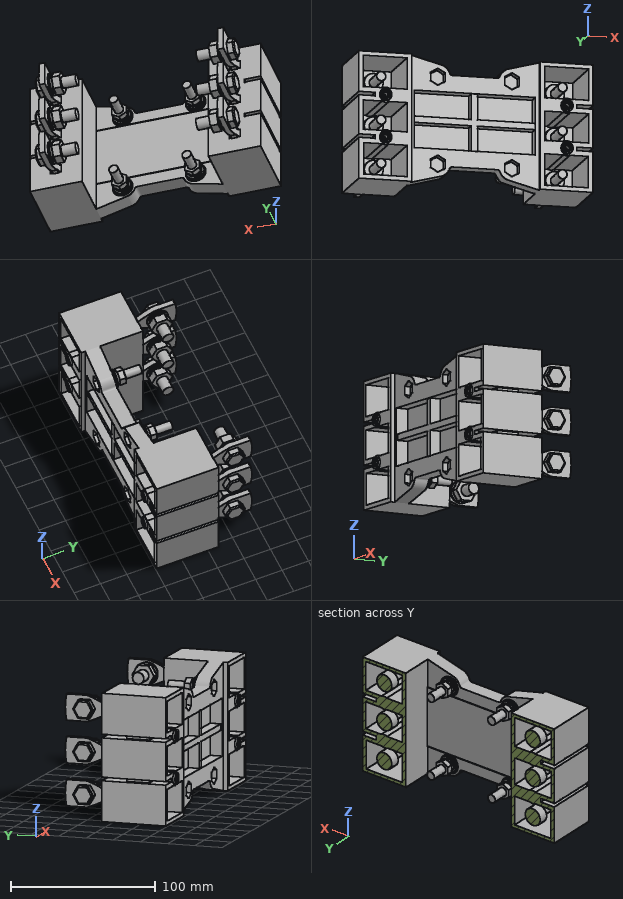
import cadquery as cq
import math


OVERALL_X = 168.0
OVERALL_Y = 81.39
HOUSING_X = 38.0
HOUSING_Y = 47.0
HOUSING_Z = 91.0
POLES = 3
POLE_PITCH = HOUSING_Z / POLES
WALL = 3.1
INNER_WALL = 3.4
BACK_WALL = 3.0
POLE_X = 65.0

HOUSING_INNER_X = OVERALL_X / 2 - HOUSING_X
CHAMBER_INNER_X = HOUSING_INNER_X + INNER_WALL
CHAMBER_OUTER_X = OVERALL_X / 2 - WALL
BOTTOM_CHAMBER_INSET = 0.45
OUTER_CHAMBER_Z = 22.4
MIDDLE_CHAMBER_Z = 20.9

CONTACT_PITCH = 31.0
PIN_DIAMETER = 6.5
PIN_FRONT_Y = 11.5
COLLAR_DIAMETER = 13.4
COLLAR_FRONT_Y = 32.0

SLOT_Z = 2.5
SLOT_DEPTH = 11.8
SLOT_WEB_DEPTH = 3.5
WEB_START_Y = 13.3
WEB_END_Y = 30.0

RIVET_SLEEVE_DIAMETER = 10.7
RIVET_HEAD_DIAMETER = 8.3
RIVET_HEAD_HEIGHT = 1.6
RIVET_RECESS_DIAMETER = 5.5
RIVET_RECESS_DEPTH = 1.0
RIVET_BORE = 3.5
RIVET_BORE_DEPTH = 6.0

PLATE_FRONT_Y = 3.1
PLATE_BACK_Y = 14.5
WAIST_Z = 32.7
EAR_SHOULDER_X = 22.9
EAR_RADIUS = 9.2
EAR_FILLET = 2.0
WINDOW_X = 86.8
WINDOW_Z = 41.0
WINDOW_DEPTH = 8.9
RIB_WIDTH = 4.5
RIB_RECESS = 1.0
PAD_Z = 47.0
PAD_HEIGHT = 0.5

STUD_X = 26.6
STUD_Z = 31.0
STUD_DIAMETER = 6.5
STUD_END_Y = 36.2
STUD_NUT_FLATS = 10.4
STUD_NUT_BACK_Y = 23.4
STUD_NUT_FRONT_Y = 18.8
SPRING_WASHER_DIAMETER = 10.2
SPRING_WASHER_FRONT_Y = 16.8
FLAT_WASHER_DIAMETER = 13.2
FLAT_WASHER_FRONT_Y = 15.4
SEAT_DIAMETER = 14.4
STUD_RECESS_FLATS = 10.4
STUD_RECESS_DEPTH = 8.0
STUD_HEAD_FLATS = 9.7
STUD_HEAD_SINK = 4.0
STUD_HEAD_FRONT_Y = PLATE_FRONT_Y + STUD_HEAD_SINK

TAB_TIP_Y = OVERALL_Y - RIVET_HEAD_HEIGHT
TAB_THICKNESS = 4.2
TAB_HALF_WIDTH = 9.35
TAB_TIP_BULGE = 0.9
TAB_CORNER_Y = TAB_TIP_Y - TAB_TIP_BULGE
TAB_SHOULDER_START_Y = 64.3
TAB_SHOULDER_END_Y = 62.7
TAB_SHOULDER_HALF_WIDTH = 9.1
TAB_NECK_Y = 50.3
TAB_NECK_HALF_WIDTH = 3.55
TAB_SIDE_BULGE = 0.35
TAB_SHOULDER_BULGE = 0.04
FLARE_WIDTH = 1.9
FLARE_HALF_WIDTH = 3.1

BOLT_Y = 65.1
BOLT_DIAMETER = 8.3
BOLT_HEAD_FLATS = 13.0
BOLT_HEAD_HEIGHT = 5.3
BOLT_HEAD_CHAMFER = 1.0
BOLT_END_X = 43.9
TERMINAL_WASHER_DIAMETER = 15.8
TERMINAL_WASHER_THICKNESS = 1.0
TERMINAL_SPRING_DIAMETER = 12.2
TERMINAL_SPRING_THICKNESS = 1.8
TERMINAL_NUT_FLATS = 13.9
TERMINAL_NUT_HEIGHT = 5.8


def box(x0, x1, y0, y1, z0, z1):
    return cq.Workplane("XY").box(x1 - x0, y1 - y0, z1 - z0, centered=False).translate((x0, y0, z0))


def across_corners(flats):
    return flats / math.cos(math.pi / 6)


def plane_y(x, y, z):
    """Workplane at a point, with its normal along +Y."""
    return cq.Workplane(cq.Plane((x, y, z), xDir=(1, 0, 0), normal=(0, 1, 0)))


def disc_y(x, z, diameter, y0, y1):
    return plane_y(x, y0, z).circle(diameter / 2).extrude(y1 - y0)


def hex_y(x, z, flats, y0, y1):
    """Hexagonal prism along Y with two corners pointing up and down."""
    outline = plane_y(x, y0, z).transformed(rotate=(0, 0, 30)).polygon(6, across_corners(flats))
    return outline.extrude(y1 - y0)


def plane_x(x, y, z):
    """Workplane at a point, with its normal along +X."""
    return cq.Workplane(cq.Plane((x, y, z), xDir=(0, 1, 0), normal=(1, 0, 0)))


def pole_heights(pitch):
    return [-pitch, 0.0, pitch]


def gap_heights():
    return [-POLE_PITCH / 2, POLE_PITCH / 2]


def cut_chambers(housing):
    outer_centre = HOUSING_Z / 2 - WALL - OUTER_CHAMBER_Z / 2
    bottom_outer_x = CHAMBER_OUTER_X - BOTTOM_CHAMBER_INSET
    chambers = [
        (outer_centre, OUTER_CHAMBER_Z, CHAMBER_OUTER_X),
        (0.0, MIDDLE_CHAMBER_Z, CHAMBER_OUTER_X),
        (-outer_centre, OUTER_CHAMBER_Z, bottom_outer_x),
    ]
    for centre, height, outer_x in chambers:
        housing = housing.cut(box(
            CHAMBER_INNER_X, outer_x,
            0, HOUSING_Y - BACK_WALL,
            centre - height / 2, centre + height / 2,
        ))
    return housing


def cut_slots(housing):
    edge = OVERALL_X / 2
    for z in gap_heights():
        bottom = z - SLOT_Z / 2
        top = z + SLOT_Z / 2
        housing = housing.cut(box(edge - SLOT_WEB_DEPTH, edge, 0, HOUSING_Y, bottom, top))
        housing = housing.cut(box(edge - SLOT_DEPTH, edge, 0, WEB_START_Y, bottom, top))
        housing = housing.cut(box(edge - SLOT_DEPTH, edge, WEB_END_Y, HOUSING_Y, bottom, top))
    return housing


def add_rivets(housing):
    for z in gap_heights():
        housing = housing.union(disc_y(POLE_X, z, RIVET_SLEEVE_DIAMETER, 0, HOUSING_Y))
        housing = housing.union(disc_y(POLE_X, z, RIVET_HEAD_DIAMETER, -RIVET_HEAD_HEIGHT, 0))
        recess_floor = RIVET_RECESS_DEPTH - RIVET_HEAD_HEIGHT
        housing = housing.cut(disc_y(POLE_X, z, RIVET_RECESS_DIAMETER, -RIVET_HEAD_HEIGHT, recess_floor))
        housing = housing.cut(disc_y(POLE_X, z, RIVET_BORE, recess_floor, recess_floor + RIVET_BORE_DEPTH))
    return housing


def add_contact_pins(housing):
    for z in pole_heights(CONTACT_PITCH):
        housing = housing.union(disc_y(POLE_X, z, PIN_DIAMETER, PIN_FRONT_Y, HOUSING_Y))
        housing = housing.union(disc_y(POLE_X, z, COLLAR_DIAMETER, COLLAR_FRONT_Y, HOUSING_Y))
    return housing


def make_housing():
    housing = box(
        HOUSING_INNER_X, OVERALL_X / 2,
        0, HOUSING_Y,
        -HOUSING_Z / 2, HOUSING_Z / 2,
    )
    housing = cut_chambers(housing)
    housing = cut_slots(housing)
    housing = add_contact_pins(housing)
    return add_rivets(housing)


def arc_middle(start, end, sagitta):
    """Middle point of an arc bulging to the left of the direction start -> end."""
    dx = end[0] - start[0]
    dy = end[1] - start[1]
    length = math.hypot(dx, dy)
    return (
        (start[0] + end[0]) / 2 - dy / length * sagitta,
        (start[1] + end[1]) / 2 + dx / length * sagitta,
    )


def make_tab(z):
    """Flat terminal tab whose tapered neck flares out into the housing."""
    tip = (TAB_TIP_Y, 0)
    corner = (TAB_CORNER_Y, TAB_HALF_WIDTH)
    shoulder_start = (TAB_SHOULDER_START_Y, TAB_HALF_WIDTH)
    shoulder_end = (TAB_SHOULDER_END_Y, TAB_SHOULDER_HALF_WIDTH)
    neck = (TAB_NECK_Y, TAB_NECK_HALF_WIDTH)
    root = (HOUSING_Y, TAB_NECK_HALF_WIDTH)

    def below(point):
        return (point[0], -point[1])

    shoulder_middle = arc_middle(shoulder_start, shoulder_end, -TAB_SHOULDER_BULGE)
    side_middle = arc_middle(shoulder_end, neck, -TAB_SIDE_BULGE)
    outline = (
        plane_x(POLE_X - TAB_THICKNESS / 2, 0, z)
        .moveTo(*corner)
        .lineTo(*shoulder_start)
        .threePointArc(shoulder_middle, shoulder_end)
        .threePointArc(side_middle, neck)
        .lineTo(*root)
        .lineTo(*below(root))
        .lineTo(*below(neck))
        .threePointArc(below(side_middle), below(shoulder_end))
        .threePointArc(below(shoulder_middle), below(shoulder_start))
        .lineTo(*below(corner))
        .threePointArc(tip, corner)
        .close()
    )
    tab = outline.extrude(TAB_THICKNESS)

    half_neck = TAB_THICKNESS / 2
    half_root = half_neck + FLARE_WIDTH
    flare_height = TAB_NECK_Y - HOUSING_Y
    flare_radius = (FLARE_WIDTH ** 2 + flare_height ** 2) / (2 * FLARE_WIDTH)
    flare = (
        cq.Workplane("XY", origin=(POLE_X, 0, z - FLARE_HALF_WIDTH))
        .moveTo(-half_root, HOUSING_Y)
        .lineTo(half_root, HOUSING_Y)
        .radiusArc((half_neck, TAB_NECK_Y), flare_radius)
        .lineTo(-half_neck, TAB_NECK_Y)
        .radiusArc((-half_root, HOUSING_Y), flare_radius)
        .close()
        .extrude(2 * FLARE_HALF_WIDTH)
    )
    return tab.union(flare)


def make_terminal_bolt(z):
    """Hexagon bolt with washers and nut; head on the outer side, shank towards X = 0."""
    tab_outer = POLE_X + TAB_THICKNESS / 2
    tab_inner = POLE_X - TAB_THICKNESS / 2
    head_flats_end = tab_outer + BOLT_HEAD_HEIGHT - BOLT_HEAD_CHAMFER
    head_corners = across_corners(BOLT_HEAD_FLATS)
    head_end_corners = across_corners(BOLT_HEAD_FLATS - 2 * BOLT_HEAD_CHAMFER)
    head_base = plane_x(tab_outer, BOLT_Y, z).polygon(6, head_corners)
    bolt = head_base.extrude(head_flats_end - tab_outer)
    head_top = (
        plane_x(head_flats_end, BOLT_Y, z)
        .polygon(6, head_corners)
        .workplane(offset=BOLT_HEAD_CHAMFER)
        .polygon(6, head_end_corners)
        .loft(ruled=True)
    )
    shank = plane_x(BOLT_END_X, BOLT_Y, z).circle(BOLT_DIAMETER / 2).extrude(tab_outer - BOLT_END_X)

    washer_x = tab_inner - TERMINAL_WASHER_THICKNESS
    spring_x = washer_x - TERMINAL_SPRING_THICKNESS
    nut_x = spring_x - TERMINAL_NUT_HEIGHT
    washer = plane_x(washer_x, BOLT_Y, z).circle(TERMINAL_WASHER_DIAMETER / 2)
    spring = plane_x(spring_x, BOLT_Y, z).circle(TERMINAL_SPRING_DIAMETER / 2)
    nut = plane_x(nut_x, BOLT_Y, z).polygon(6, across_corners(TERMINAL_NUT_FLATS))
    bolt = bolt.union(head_top).union(shank)
    bolt = bolt.union(washer.extrude(TERMINAL_WASHER_THICKNESS))
    bolt = bolt.union(spring.extrude(TERMINAL_SPRING_THICKNESS))
    return bolt.union(nut.extrude(TERMINAL_NUT_HEIGHT))


def make_ear_quarter():
    """Upper +X quarter of the plate: sloped shoulder, round ear, fillet down to the waist."""
    shoulder_angle = math.acos((EAR_SHOULDER_X - STUD_X) / EAR_RADIUS)

    def on_ear(angle):
        return (STUD_X + EAR_RADIUS * math.cos(angle), STUD_Z + EAR_RADIUS * math.sin(angle))

    reach = EAR_RADIUS + EAR_FILLET
    join_angle = math.pi - math.asin((WAIST_Z + EAR_FILLET - STUD_Z) / reach)
    fillet_x = STUD_X + reach * math.cos(join_angle)
    return (
        cq.Workplane("XZ", origin=(0, PLATE_FRONT_Y, 0))
        .lineTo(HOUSING_INNER_X, 0)
        .lineTo(HOUSING_INNER_X, HOUSING_Z / 2)
        .lineTo(*on_ear(shoulder_angle))
        .threePointArc(on_ear((shoulder_angle + join_angle) / 2), on_ear(join_angle))
        .radiusArc((fillet_x, WAIST_Z), EAR_FILLET)
        .lineTo(0, WAIST_Z)
        .close()
        .extrude(PLATE_FRONT_Y - PLATE_BACK_Y)
    )


def make_plate():
    quarter = make_ear_quarter()
    half = quarter.union(quarter.mirror("XY"))
    plate = half.union(half.mirror("YZ"))
    plate = plate.union(box(
        -HOUSING_INNER_X, HOUSING_INNER_X,
        PLATE_BACK_Y, PLATE_BACK_Y + PAD_HEIGHT,
        -PAD_Z / 2, PAD_Z / 2,
    ))
    window_floor = PLATE_FRONT_Y + WINDOW_DEPTH
    rib_front = PLATE_FRONT_Y + RIB_RECESS
    half_rib = RIB_WIDTH / 2
    half_x = WINDOW_X / 2
    half_z = WINDOW_Z / 2
    plate = plate.cut(box(-half_x, half_x, PLATE_FRONT_Y, window_floor, -half_z, half_z))
    plate = plate.union(box(-half_x, half_x, rib_front, window_floor, -half_rib, half_rib))
    return plate.union(box(-half_rib, half_rib, rib_front, window_floor, -half_z, half_z))


def add_stud(plate, x, z):
    """Stud with its head sunk in a hexagonal recess, washers and a nut behind the plate."""
    recess_floor = PLATE_FRONT_Y + STUD_RECESS_DEPTH
    plate = plate.cut(hex_y(x, z, STUD_RECESS_FLATS, PLATE_FRONT_Y, recess_floor))
    plate = plate.union(hex_y(x, z, STUD_HEAD_FLATS, STUD_HEAD_FRONT_Y, recess_floor))
    plate = plate.union(disc_y(x, z, SEAT_DIAMETER, PLATE_BACK_Y, FLAT_WASHER_FRONT_Y))
    plate = plate.union(disc_y(x, z, FLAT_WASHER_DIAMETER, FLAT_WASHER_FRONT_Y, SPRING_WASHER_FRONT_Y))
    plate = plate.union(disc_y(x, z, SPRING_WASHER_DIAMETER, SPRING_WASHER_FRONT_Y, STUD_NUT_FRONT_Y))
    plate = plate.union(hex_y(x, z, STUD_NUT_FLATS, STUD_NUT_FRONT_Y, STUD_NUT_BACK_Y))
    return plate.union(disc_y(x, z, STUD_DIAMETER, STUD_NUT_BACK_Y, STUD_END_Y))


def make_side():
    """Complete +X side: housing with its three terminals."""
    side = make_housing()
    for z in pole_heights(POLE_PITCH):
        side = side.union(make_tab(z)).union(make_terminal_bolt(z))
    return side


body = make_plate()
for stud_x in (-STUD_X, STUD_X):
    for stud_z in (-STUD_Z, STUD_Z):
        body = add_stud(body, stud_x, stud_z)

right_side = make_side()
result = body.union(right_side).union(right_side.mirror("YZ"))